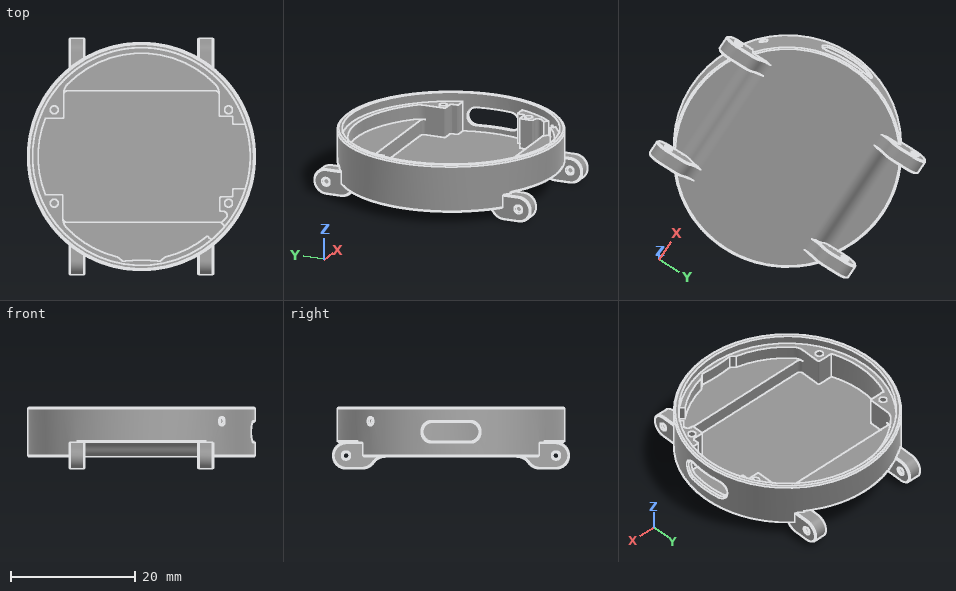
import cadquery as cq
import math

CASE_RADIUS = 18.3
CASE_HEIGHT = 8.0
CASE_CHAMFER = 0.25

RIM_RADIUS = 17.5
CAVITY_RADIUS = 16.6
LEDGE_Z = 6.5
MAIN_FLOOR_Z = 1.5
RAISED_FLOOR_Z = 4.1
RAISED_FLOOR_Y = 10.55
STEP_FILLET = 0.6
CAVITY_FILLET = 2.2

UPPER_POST_X = 12.5
LOWER_POST_X = 12.62
LEFT_POST_INNER_Y = 6.15
RIGHT_POST_INNER_Y = 6.5
RIGHT_STEP_X = 14.7
RIGHT_STEP_Y = 5.2
POST_STEP_FILLET = 0.3
POST_CORNER_FILLET = 0.15
SHORT_POST_END_Y = 8.8
SHORT_POST_FILLET = 0.64
SCREW_X = 14.0
SCREW_Y = 7.5
SCREW_HOLE_DIAMETER = 1.27
SCREW_HOLE_DEPTH = 4.0

BUTTON_ANGLE = -45.0
BUTTON_POCKET_WIDTH = 3.1
BUTTON_FLAT_DISTANCE = CAVITY_RADIUS
BUTTON_FLAT_REACH = 5.0
POCKET_OVERLAP = 1.0
BUTTON_HOLE_Z = 5.75
BUTTON_HOLE_DIAMETER = 1.0
HOLE_CHAMFER = 0.22

RECESS_WIDTH = 6.0
RECESS_MOUTH_WIDTH = 7.8
RECESS_MOUTH_Y = 16.1
RECESS_END_Y = 16.82
RECESS_MIDDLE_Y = 16.66

SLOT_LENGTH = 9.1
SLOT_HEIGHT = 3.1
SLOT_Z = 4.05
SLOT_CHAMFER = 0.25

LUG_RADIUS = 2.13
LUG_WIDTH = 2.5
LUG_X = 10.34
LUG_TIP_Y = 19.0
LUG_BOTTOM_Z = -1.9
LUG_CHAMFER = 0.18
LUG_ROOT_Y = 10.6
LUG_ROOT_HEIGHT = 0.75
PIN_HOLE_DIAMETER = 1.0
PIN_Y = LUG_TIP_Y - LUG_RADIUS
PIN_Z = LUG_BOTTOM_Z + LUG_RADIUS
LUG_TOP_Z = PIN_Z + LUG_RADIUS
BEND_RADIUS = 2.25

EDGE_REACH = 0.05


def disc(radius, bottom, top):
    return cq.Workplane("XY").workplane(offset=bottom).circle(radius).extrude(top - bottom)


def block(x_range, y_range, z_range):
    lengths = [high - low for low, high in (x_range, y_range, z_range)]
    corner = (x_range[0], y_range[0], z_range[0])
    return cq.Workplane("XY").box(*lengths, centered=False).translate(corner)


def fillet_upright(solid, x, y, radius):
    """Round the upright edge that stands at the point (x, y)."""
    low = (x - EDGE_REACH, y - EDGE_REACH, -CASE_HEIGHT)
    high = (x + EDGE_REACH, y + EDGE_REACH, 2 * CASE_HEIGHT)
    return solid.edges("|Z").edges(cq.selectors.BoxSelector(low, high)).fillet(radius)


def bend_run(rise):
    """Length along Y of an S-bend of two equal tangent arcs that climbs by `rise`."""
    angle = math.acos(1 - rise / (2 * BEND_RADIUS))
    return 2 * BEND_RADIUS * math.sin(angle)


def add_bend(profile, start, end):
    """Add an S-bend from start to end, level at both ends, to a profile in the YZ plane."""
    run = end[0] - start[0]
    rise = end[1] - start[1]
    half_angle = math.atan2(abs(rise), abs(run))
    arc_run = math.copysign(BEND_RADIUS * math.sin(half_angle), run)
    arc_rise = math.copysign(BEND_RADIUS * (1 - math.cos(half_angle)), rise)
    middle = (start[0] + run / 2, start[1] + rise / 2)
    profile = profile.threePointArc((start[0] + arc_run, start[1] + arc_rise), middle)
    return profile.threePointArc((end[0] - arc_run, end[1] - arc_rise), end)


def posts(bottom, top):
    """The four corner posts, running out past the cavity wall."""
    outer = CASE_RADIUS
    levels = (bottom, top)
    upper_left = block((-outer, -UPPER_POST_X), (LEFT_POST_INNER_Y, outer), levels)
    lower_left = block((-outer, -LOWER_POST_X), (-outer, -LEFT_POST_INNER_Y), levels)
    upper_right = block((UPPER_POST_X, outer), (RIGHT_POST_INNER_Y, outer), levels)
    lower_right = block((LOWER_POST_X, outer), (-SHORT_POST_END_Y, -RIGHT_POST_INNER_Y), levels)
    upper_step = block((RIGHT_STEP_X, outer), (RIGHT_STEP_Y, outer), levels)
    lower_step = block((RIGHT_STEP_X, outer), (-SHORT_POST_END_Y, -RIGHT_STEP_Y), levels)
    solid = upper_left.union(lower_left)
    solid = solid.union(upper_right.union(upper_step))
    solid = solid.union(lower_right.union(lower_step))
    corners = [
        (-UPPER_POST_X, LEFT_POST_INNER_Y),
        (-LOWER_POST_X, -LEFT_POST_INNER_Y),
        (UPPER_POST_X, RIGHT_POST_INNER_Y),
        (LOWER_POST_X, -RIGHT_POST_INNER_Y),
        (LOWER_POST_X, -SHORT_POST_END_Y),
        (RIGHT_STEP_X, RIGHT_STEP_Y),
        (RIGHT_STEP_X, -RIGHT_STEP_Y),
    ]
    for x, y in corners:
        solid = fillet_upright(solid, x, y, POST_CORNER_FILLET)
    for side in (-1, 1):
        solid = fillet_upright(solid, RIGHT_STEP_X, side * RIGHT_POST_INNER_Y, POST_STEP_FILLET)
    return solid


def button_flat(bottom, top):
    """Space in front of the flat wall that faces the button, square to the button axis."""
    space = block((0, BUTTON_FLAT_DISTANCE), (0, BUTTON_FLAT_REACH), (bottom, top))
    return space.rotate((0, 0, 0), (0, 0, 1), BUTTON_ANGLE)


def cavity_level(bottom, top, half_width):
    """Space inside the cavity wall and between the posts, for |y| up to half_width."""
    port_space = block((RIGHT_STEP_X, CASE_RADIUS), (-RIGHT_STEP_Y, RIGHT_STEP_Y), (bottom, top))
    port_space = port_space.intersect(disc(RIM_RADIUS, bottom, top))
    band = block((-CASE_RADIUS, CASE_RADIUS), (-half_width, half_width), (bottom, top))
    space = disc(CAVITY_RADIUS, bottom, top).union(port_space).union(button_flat(bottom, top))
    space = space.intersect(band).cut(posts(bottom, top))
    flat_end_x = BUTTON_FLAT_DISTANCE * math.sqrt(2) - SHORT_POST_END_Y
    return fillet_upright(space, flat_end_x, -SHORT_POST_END_Y, SHORT_POST_FILLET)


def cavity():
    upper = cavity_level(RAISED_FLOOR_Z, LEDGE_Z, CASE_RADIUS)
    lower = cavity_level(MAIN_FLOOR_Z, RAISED_FLOOR_Z, RAISED_FLOOR_Y)
    long_post_sides = ((-UPPER_POST_X, 1), (UPPER_POST_X, 1), (-LOWER_POST_X, -1))
    for x, y_side in long_post_sides:
        wall_y = math.sqrt(CAVITY_RADIUS**2 - x**2)
        upper = fillet_upright(upper, x, y_side * wall_y, CAVITY_FILLET)
        lower = fillet_upright(lower, x, y_side * RAISED_FLOOR_Y, STEP_FILLET)
    rim = disc(RIM_RADIUS, LEDGE_Z, CASE_HEIGHT)
    return upper.union(lower).union(rim)


def wall_recess():
    half_mouth = RECESS_MOUTH_WIDTH / 2
    half_floor = RECESS_WIDTH / 2
    start = cq.Workplane("XY").workplane(offset=RAISED_FLOOR_Z)
    outline = (
        start.moveTo(-half_mouth, -RECESS_MOUTH_Y)
        .lineTo(-half_floor, -RECESS_END_Y)
        .threePointArc((0, -RECESS_MIDDLE_Y), (half_floor, -RECESS_END_Y))
        .lineTo(half_mouth, -RECESS_MOUTH_Y)
        .close()
    )
    return outline.extrude(LEDGE_Z - RAISED_FLOOR_Z)


def button_opening():
    """Pocket that thins the wall, with a chamfered hole leading outwards from it."""
    half = BUTTON_POCKET_WIDTH / 2
    inner_x = CAVITY_RADIUS - POCKET_OVERLAP
    pocket = block((inner_x, CASE_RADIUS), (-half, half), (RAISED_FLOOR_Z, LEDGE_Z))
    pocket = pocket.intersect(disc(RIM_RADIUS, RAISED_FLOOR_Z, LEDGE_Z))
    radius = BUTTON_HOLE_DIAMETER / 2
    start = cq.Workplane("YZ", origin=(inner_x, 0, BUTTON_HOLE_Z))
    hole = start.circle(radius).extrude(CASE_RADIUS - inner_x)
    mouth = cq.Solid.makeCone(
        radius,
        radius + HOLE_CHAMFER,
        HOLE_CHAMFER,
        cq.Vector(CASE_RADIUS - HOLE_CHAMFER, 0, BUTTON_HOLE_Z),
        cq.Vector(1, 0, 0),
    )
    opening = pocket.union(hole).union(cq.Workplane(mouth))
    return opening.rotate((0, 0, 0), (0, 0, 1), BUTTON_ANGLE)


def cut_connector_slot(body):
    """Cut the slot through the +X wall and chamfer its outer mouth."""
    plane = cq.Workplane("YZ", origin=(CAVITY_RADIUS, 0, SLOT_Z))
    body = body.cut(plane.slot2D(SLOT_LENGTH, SLOT_HEIGHT).extrude(CASE_RADIUS))
    around_slot = cq.selectors.BoxSelector(
        (CAVITY_RADIUS, -SLOT_LENGTH, SLOT_Z - SLOT_HEIGHT / 2 - EDGE_REACH),
        (2 * CASE_RADIUS, SLOT_LENGTH, SLOT_Z + SLOT_HEIGHT / 2 + EDGE_REACH),
    )
    mouth_edges = [
        edge
        for edge in body.edges(around_slot).vals()
        if all(math.hypot(point.X, point.Y) > CASE_RADIUS - EDGE_REACH for point in edge.Vertices())
    ]
    return body.newObject(mouth_edges).chamfer(SLOT_CHAMFER)


def strap_relief():
    """Space for the strap between two lugs on the -Y side, with an S-shaped inner face."""
    root = (-LUG_ROOT_Y, 0)
    ceiling = (-LUG_ROOT_Y - bend_run(LUG_TOP_Z), LUG_TOP_Z)
    profile = cq.Workplane("YZ", origin=(-LUG_X, 0, 0)).moveTo(*root)
    profile = add_bend(profile, root, ceiling)
    profile = profile.lineTo(-LUG_TIP_Y, LUG_TOP_Z).lineTo(-LUG_TIP_Y, 0).close()
    return profile.extrude(2 * LUG_X)


def rim_bevel():
    """Ring that bevels the outer edge of the case above the strap reliefs."""
    bevel = [
        (CASE_RADIUS - CASE_CHAMFER, LUG_TOP_Z),
        (CASE_RADIUS, LUG_TOP_Z),
        (CASE_RADIUS, LUG_TOP_Z + CASE_CHAMFER),
    ]
    ring = cq.Workplane("XZ").polyline(bevel).close().revolve(360, (0, 0), (0, 1))
    return ring.intersect(block((-LUG_X, LUG_X), (-LUG_TIP_Y, LUG_TIP_Y), (0, CASE_HEIGHT)))


def lug():
    """Lug on the -Y side, centred on x = 0, with a rounded tip and an S-shaped root."""
    run = bend_run(-LUG_BOTTOM_Z)
    root = (-LUG_ROOT_Y, 0)
    bend_start = (-LUG_ROOT_Y - run, LUG_BOTTOM_Z)
    half_width = LUG_WIDTH / 2
    outline = (
        cq.Workplane("YZ", origin=(-half_width, 0, 0))
        .moveTo(-PIN_Y, LUG_TOP_Z)
        .threePointArc((-LUG_TIP_Y, PIN_Z), (-PIN_Y, LUG_BOTTOM_Z))
        .lineTo(*bend_start)
    )
    outline = add_bend(outline, bend_start, root)
    outline = outline.lineTo(-LUG_ROOT_Y, LUG_ROOT_HEIGHT).lineTo(-LUG_ROOT_Y - run / 2, LUG_TOP_Z)
    solid = outline.close().extrude(LUG_WIDTH).faces("<X or >X").chamfer(LUG_CHAMFER)
    hole_plane = cq.Workplane("YZ", origin=(-half_width, -PIN_Y, PIN_Z))
    solid = solid.cut(hole_plane.circle(PIN_HOLE_DIAMETER / 2).extrude(LUG_WIDTH))
    around_hole = cq.selectors.BoxSelector(
        (-LUG_WIDTH, -PIN_Y - PIN_HOLE_DIAMETER, PIN_Z - PIN_HOLE_DIAMETER),
        (LUG_WIDTH, -PIN_Y + PIN_HOLE_DIAMETER, PIN_Z + PIN_HOLE_DIAMETER),
    )
    return solid.edges("%CIRCLE").edges(around_hole).chamfer(HOLE_CHAMFER)


def screw_holes():
    corners = [(x * SCREW_X, y * SCREW_Y) for x in (-1, 1) for y in (-1, 1)]
    top = cq.Workplane("XY").workplane(offset=LEDGE_Z)
    return top.pushPoints(corners).circle(SCREW_HOLE_DIAMETER / 2).extrude(-SCREW_HOLE_DEPTH)


def case():
    body = disc(CASE_RADIUS, 0, CASE_HEIGHT).faces("<Z or >Z").edges().chamfer(CASE_CHAMFER)
    body = body.cut(cavity()).cut(wall_recess()).cut(button_opening()).cut(screw_holes())
    body = cut_connector_slot(body)
    relief = strap_relief()
    return body.cut(relief).cut(relief.mirror("XZ")).cut(rim_bevel())


result = case()
for lug_x in (-LUG_X, LUG_X):
    front_lug = lug().translate((lug_x, 0, 0))
    result = result.union(front_lug).union(front_lug.mirror("XZ"))